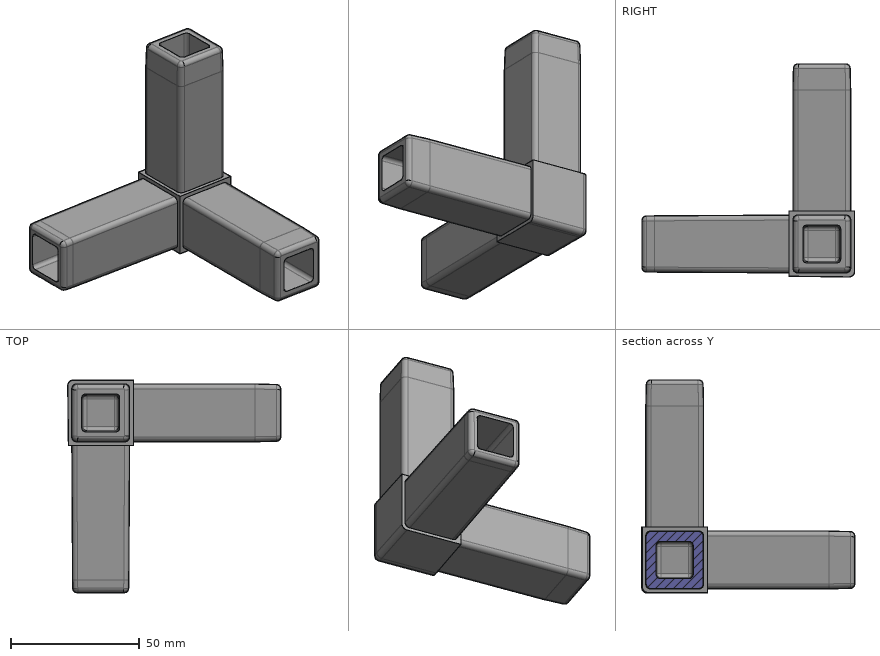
import cadquery as cq


hub_size = 25.7
hub_depth = 25.6
hub_fillet = 2.15
hub_draft = 0.25

leg_length = 57.3
leg_width = 22.6
leg_fillet = 2.0
tip_fillet = 1.8
back_margin = 1.5
side_margin = (hub_size - leg_width) / 2

straight_tip_length = 10.1
straight_tip_width = 22.1

tapered_tip_length = 4.9
tapered_crease_width = 22.0
tapered_tip_width = 21.75

socket_fillet = 1.6
socket_floor_width = 13.8
straight_socket_width = 14.8
tapered_socket_width = 15.6

leg_centre = side_margin + leg_width / 2
leg_centre_y = -(back_margin + leg_width / 2)

parting_depth = back_margin + leg_fillet


def square_loft(sections, corner_radius):
    """Upright body with straight walls through rounded squares, given as (height, width) pairs."""
    squares = []
    for height, width in sections:
        square = cq.Sketch().rect(width, width).vertices().fillet(corner_radius)
        squares.append(square.moved(cq.Location(cq.Vector(0, 0, height))))
    return cq.Workplane("XY").placeSketch(*squares).loft(ruled=True)


def leg(tip_length, crease_width, tip_width):
    """Upright solid leg with a crease where the tip taper starts."""
    sections = [
        (0, leg_width),
        (leg_length - tip_length, crease_width),
        (leg_length, tip_width),
    ]
    return square_loft(sections, leg_fillet).faces(">Z").edges().fillet(tip_fillet)


def socket(mouth_width):
    """Upright drafted cavity, from the leg's root to its open end."""
    floor = cq.Sketch().rect(socket_floor_width, socket_floor_width)
    mouth = cq.Sketch().rect(mouth_width, mouth_width).moved(cq.Location(cq.Vector(0, 0, leg_length)))
    cavity = cq.Workplane("XY").placeSketch(floor, mouth).loft(ruled=True)
    return cavity.edges("not >Z").fillet(socket_fillet)


def hub_section(inset):
    """Hub outline across Y, its low corner moved in by the inset and rounded."""
    width = hub_size - inset
    centre = inset + width / 2
    square = cq.Sketch().rect(width, width).vertices("<X and <Y").fillet(hub_fillet)
    return square.moved(cq.Location(cq.Vector(centre, centre, 0)))


def hub():
    """Block with drafted -X and -Z faces in front of the parting plane and a rounded outer corner."""
    back = cq.Workplane("XZ").placeSketch(hub_section(0)).extrude(parting_depth)
    back = back.faces(">Y").edges("not(>X or >Z)").fillet(hub_fillet)
    drafted_end = hub_section(hub_draft).moved(cq.Location(cq.Vector(0, 0, hub_depth - parting_depth)))
    front = (
        cq.Workplane("XZ")
        .workplane(offset=parting_depth)
        .placeSketch(hub_section(0), drafted_end)
        .loft(ruled=True)
    )
    return back.union(front)


x_plane = cq.Plane(origin=(hub_size, leg_centre_y, leg_centre), xDir=(0, 1, 0), normal=(1, 0, 0))
y_plane = cq.Plane(origin=(leg_centre, -hub_depth, leg_centre), xDir=(1, 0, 0), normal=(0, -1, 0))
z_plane = cq.Plane(origin=(leg_centre, leg_centre_y, hub_size), xDir=(1, 0, 0), normal=(0, 0, 1))

straight_leg = leg(straight_tip_length, leg_width, straight_tip_width).val()
straight_socket = socket(straight_socket_width).val()
tapered_leg = leg(tapered_tip_length, tapered_crease_width, tapered_tip_width).val()
tapered_socket = socket(tapered_socket_width).val()

result = hub()
for body, cavity, plane in (
    (straight_leg, straight_socket, x_plane),
    (tapered_leg, tapered_socket, y_plane),
    (straight_leg, straight_socket, z_plane),
):
    result = result.union(cq.Workplane(body.moved(plane.location)))
    result = result.cut(cq.Workplane(cavity.moved(plane.location)))